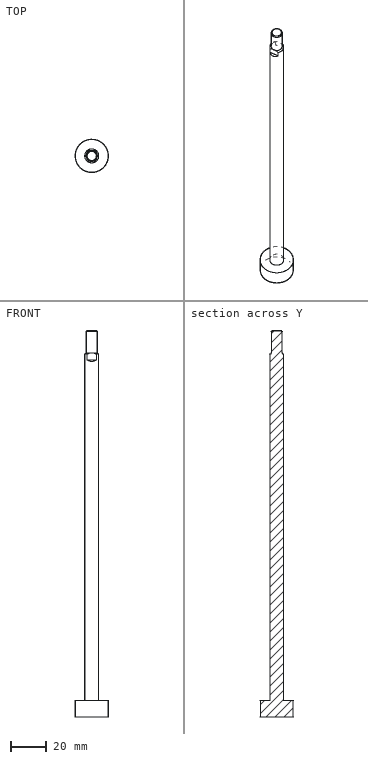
import cadquery as cq

total_length = 220.87
head_diameter = 19.02
head_height = 9.525
shaft_diameter = 8.0
tip_diameter = 6.35
tip_length = 12.7
tip_chamfer = 0.55
shoulder_chamfer = (shaft_diameter - tip_diameter) / 2

flat_length = 4.0
across_flats = 6.1
flat_offset = across_flats / 2
flat_depth = shaft_diameter / 2 - flat_offset
ramp_height = flat_depth

shoulder_z = total_length - tip_length
flat_bottom_z = shoulder_z - flat_length


def make_pin():
    """Head, shaft and tip stacked along Z, with the head resting on Z = 0."""
    head = cq.Workplane("XY").circle(head_diameter / 2).extrude(head_height)
    shaft = cq.Workplane("XY").circle(shaft_diameter / 2).extrude(shoulder_z)
    shaft = shaft.faces(">Z").edges().chamfer(shoulder_chamfer)
    tip = cq.Workplane("XY").circle(tip_diameter / 2).extrude(total_length)
    tip = tip.faces(">Z").edges().chamfer(tip_chamfer)
    return head.union(shaft).union(tip)


def make_flat_cutter(side):
    """Prism that cuts a flat and its sloped run-out; side is -1 for -Y, +1 for +Y."""
    inner_y = side * flat_offset
    outer_y = side * shaft_diameter / 2
    return (
        cq.Workplane("YZ")
        .moveTo(inner_y, shoulder_z)
        .lineTo(inner_y, flat_bottom_z)
        .lineTo(outer_y, flat_bottom_z - ramp_height)
        .lineTo(outer_y, shoulder_z)
        .close()
        .extrude(shaft_diameter / 2, both=True)
    )


result = make_pin()
for side in (-1, 1):
    result = result.cut(make_flat_cutter(side))